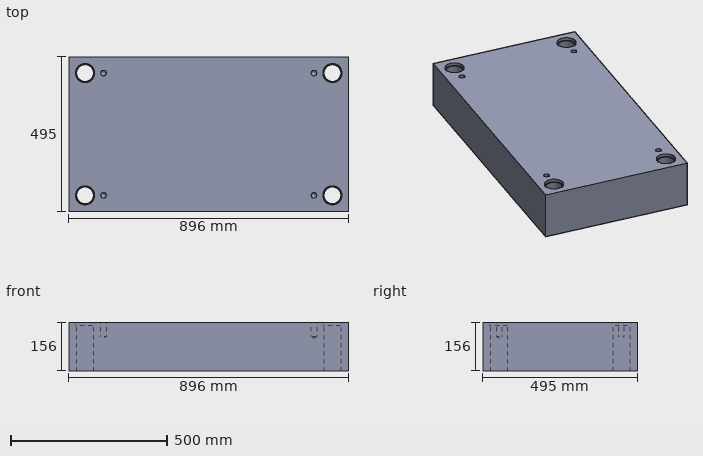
import cadquery as cq
import math

length = 896.0
width = 495.0
height = 156.0

corner_inset = 52.0
bore_diameter = 54.0
counterbore_diameter = 61.0
counterbore_depth = 10.0

small_hole_diameter = 18.0
small_hole_depth = 45.0
small_hole_offset = 59.0
drill_point_angle = 118.0

corner_x = length / 2 - corner_inset
corner_y = width / 2 - corner_inset
small_hole_x = corner_x - small_hole_offset


def mirrored_points(x, y):
    """Four points symmetric about both plate centre lines."""
    return [(sx * x, sy * y) for sx in (-1, 1) for sy in (-1, 1)]


def drilled_hole(location):
    """Cutter for one small hole: a cylinder ending in a cone."""
    radius = small_hole_diameter / 2
    point_depth = radius / math.tan(math.radians(drill_point_angle / 2))
    profile = (
        cq.Workplane("XZ")
        .lineTo(radius, 0)
        .lineTo(radius, -small_hole_depth)
        .lineTo(0, -small_hole_depth - point_depth)
        .close()
    )
    cutter = profile.revolve(360, (0, 0, 0), (0, 1, 0))
    return cutter.val().moved(location)


plate = cq.Workplane("XY").box(length, width, height)

plate = (
    plate.faces(">Z")
    .workplane(origin=(0, 0, 0))
    .pushPoints(mirrored_points(corner_x, corner_y))
    .cboreHole(bore_diameter, counterbore_diameter, counterbore_depth)
)

result = (
    plate.faces(">Z")
    .workplane(origin=(0, 0, 0))
    .pushPoints(mirrored_points(small_hole_x, corner_y))
    .cutEach(drilled_hole)
)